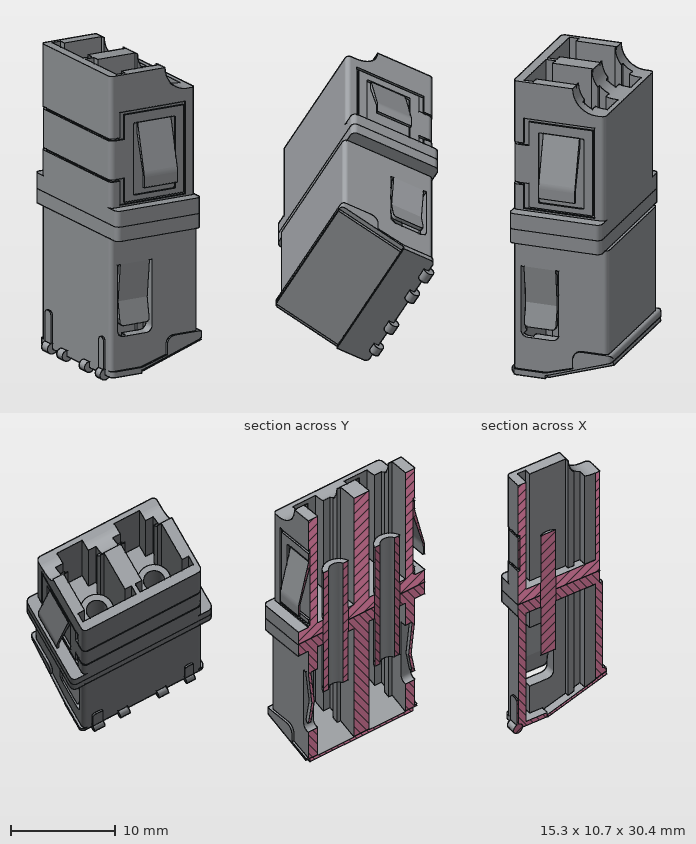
import cadquery as cq
import math


TOP_Z = 30.45
FLANGE_TOP_Z = 17.32
SPLIT_Z = 15.75
FLANGE_BOTTOM_Z = 14.3
BASE_Z = 1.07

BODY_HALF_WIDTH = 6.45
FLANGE_HALF_WIDTH = 7.65
UPPER_DEPTH = 9.38
LOWER_DEPTH = 9.68
LOWER_FRONT_Y = 0.015
BODY_CORNER = 0.43
FLANGE_CORNER = 0.52
SCOOP_RADIUS = 2.45
SCOOP_Y = 8.5

PORT_X = 3.1
PORT_HALF_WIDTH = 2.2
FOOT_HALF_WIDTH = 2.9
NECK_HALF_WIDTH = 1.77
KEY_HALF_WIDTH = 1.37
FOOT_Y = 0.95
FOOT_TOP_Y = 1.9
NECK_Y = 6.0
NECK_TOP_Y = 6.67
SHOULDER_Y = 7.65
KEY_TOP_Y = 8.85
PORT_FLOOR_Z = FLANGE_TOP_Z
PORT_CEILING_Z = FLANGE_BOTTOM_Z

SLEEVE_Y = 3.45
SLEEVE_RADIUS = 1.6
SLEEVE_BORE_RADIUS = 1.0
SLEEVE_BOTTOM_Z = 8.37
SLEEVE_LENGTH = 2 * (SPLIT_Z - SLEEVE_BOTTOM_Z)

CLIP_THICKNESS = 0.2
CLIP_CORNER = 0.55
CLIP_BAND_Z = (20.12, 24.0)
CLIP_PLATE_Y = (1.58, 8.1)
CLIP_PLATE_Z = (17.72, 26.42)
RECESS_BAND_Z = (19.9, 24.2)
RECESS_PLATE_Y = (1.07, 8.3)
RECESS_PLATE_Z = (17.5, 26.73)
CLIP_WINDOW_Y = (2.55, 7.2)
CLIP_WINDOW_Z = (18.25, 25.45)
CLIP_WINDOW_CORNER = 0.18
CLIP_TONGUE_Y = (3.05, 6.73)
CLIP_TONGUE_ROOT_X = 6.4
CLIP_TONGUE_ROOT_Z = 24.53
CLIP_TONGUE_BEND_Z = 20.52
CLIP_TONGUE_TIP_Z = 19.25
CLIP_BEND_RADIUS = 2.13

LATCH_WINDOW_Y = (0.8, 4.63)
LATCH_WINDOW_Z = (4.38, 11.57)
LATCH_WINDOW_CORNER = 0.67
LATCH_Y = (1.1, 4.32)
LATCH_TIP_Z = 5.45
LATCH_BEND_Z = 7.8
LATCH_BEND_DEPTH = 0.43
LATCH_THICKNESS = 0.37
LATCH_CORNER = 0.37

RIM_HALF_WIDTH = 6.7
RIM_BACK_Y = 10.15
RIM_BOTTOM_Z = 0.5
RIM_CORNER = 0.43
SLOPE_START_Y = 3.35
SLOPE_END_Z = 2.92
EAR_Y = 6.15
EAR_TOP_Z = 3.7
EAR_ROUND = 0.85
EAR_BACK_ROUND = 0.37

LID_HALF_WIDTH = 6.25
LID_THICKNESS = 0.37
LID_START_Z = 0.8
LID_END_Y = 10.08
LID_SLOPE = 0.33

KNUCKLE_RADIUS = BASE_Z / 2
KNUCKLE_SPANS = [(-2.68, -1.65), (1.5, 2.53)]
STRAP_SPANS = [(-5.5, -4.38), (4.5, 5.42)]
STRAP_THICKNESS = 0.15
STRAP_TOP_Z = 4.23
STRAP_CORNER = 0.43


def block(x_span, y_span, z_span):
    """Box between the given limits."""
    return (
        cq.Workplane("XY")
        .box(x_span[1] - x_span[0], y_span[1] - y_span[0], z_span[1] - z_span[0], centered=False)
        .translate((x_span[0], y_span[0], z_span[0]))
    )


def centred_block(half_width, y_span, z_span):
    """Box symmetric about X = 0."""
    return block((-half_width, half_width), y_span, z_span)


def side_block(side, inner_x, outer_x, y_span, z_span):
    """Box on the left (side = -1) or right (side = 1) of the part."""
    x_span = sorted((side * inner_x, side * outer_x))
    return block(x_span, y_span, z_span)


def port_cutter(center_x, bottom_z, top_z):
    """Stepped connector opening: foot, shaft, neck, shoulder and key."""
    half_steps = [
        (FOOT_HALF_WIDTH, FOOT_Y),
        (FOOT_HALF_WIDTH, FOOT_TOP_Y),
        (PORT_HALF_WIDTH, FOOT_TOP_Y),
        (PORT_HALF_WIDTH, NECK_Y),
        (NECK_HALF_WIDTH, NECK_Y),
        (NECK_HALF_WIDTH, NECK_TOP_Y),
        (PORT_HALF_WIDTH, NECK_TOP_Y),
        (PORT_HALF_WIDTH, SHOULDER_Y),
        (KEY_HALF_WIDTH, SHOULDER_Y),
        (KEY_HALF_WIDTH, KEY_TOP_Y),
    ]
    right = [(center_x + x, y) for x, y in half_steps]
    left = [(center_x - x, y) for x, y in reversed(half_steps)]
    return (
        cq.Workplane("XY")
        .workplane(offset=bottom_z)
        .polyline(right + left)
        .close()
        .extrude(top_z - bottom_z)
    )


def sleeve_hole(center_x):
    """Round hole that fits the outside of a sleeve."""
    return (
        cq.Workplane("XY")
        .workplane(offset=SLEEVE_BOTTOM_Z)
        .center(center_x, SLEEVE_Y)
        .circle(SLEEVE_RADIUS)
        .extrude(SLEEVE_LENGTH)
    )


def cut_connector_openings(housing, bottom_z, top_z):
    """Cut both ports and the sleeve holes in the wall at their end."""
    for center_x in (-PORT_X, PORT_X):
        housing = housing.cut(port_cutter(center_x, bottom_z, top_z))
        housing = housing.cut(sleeve_hole(center_x))
    return housing


def flange(bottom_z, top_z):
    """Half of the mounting flange, with rounded vertical edges."""
    plate = centred_block(FLANGE_HALF_WIDTH, (0, UPPER_DEPTH), (bottom_z, top_z))
    return plate.edges("|Z").fillet(FLANGE_CORNER)


def wrap(band_z, plate_y, plate_z):
    """U-shaped layer on the body: a front band joining two taller side plates."""
    core = centred_block(
        BODY_HALF_WIDTH - CLIP_THICKNESS, (CLIP_THICKNESS, UPPER_DEPTH), plate_z
    )
    core = core.edges("|Z and <Y").fillet(CLIP_CORNER)
    band = centred_block(BODY_HALF_WIDTH, (0, plate_y[1]), band_z)
    plates = centred_block(BODY_HALF_WIDTH, plate_y, plate_z)
    return band.union(plates).cut(core)


def make_upper_housing():
    body = centred_block(BODY_HALF_WIDTH, (0, UPPER_DEPTH), (SPLIT_Z, TOP_Z))
    body = body.edges("|Z").fillet(BODY_CORNER)
    body = body.union(flange(SPLIT_Z, FLANGE_TOP_Z))

    scoop = (
        cq.Workplane("YZ")
        .center(SCOOP_Y, TOP_Z)
        .circle(SCOOP_RADIUS)
        .extrude(BODY_HALF_WIDTH, both=True)
    )
    lowered_back = centred_block(
        BODY_HALF_WIDTH, (SCOOP_Y, UPPER_DEPTH), (TOP_Z - SCOOP_RADIUS, TOP_Z)
    )
    clip_recess = wrap(RECESS_BAND_Z, RECESS_PLATE_Y, RECESS_PLATE_Z)
    body = body.cut(scoop).cut(lowered_back).cut(clip_recess)
    return cut_connector_openings(body, PORT_FLOOR_Z, TOP_Z)


def lid_top_z(y):
    """Height of the sloping joint between the base rim and the lid."""
    return LID_START_Z + LID_SLOPE * (y - SLOPE_START_Y)


def lower_shaft():
    """Rounded block of the lower housing, ending at the top of the base rim."""
    shaft = centred_block(
        BODY_HALF_WIDTH, (LOWER_FRONT_Y, LOWER_DEPTH), (BASE_Z, FLANGE_BOTTOM_Z)
    )
    shaft = shaft.edges("|Z").fillet(BODY_CORNER)
    under_slope = (
        cq.Workplane("YZ")
        .polyline([(SLOPE_START_Y, BASE_Z), (LOWER_DEPTH, SLOPE_END_Z), (LOWER_DEPTH, BASE_Z)])
        .close()
        .extrude(BODY_HALF_WIDTH, both=True)
    )
    return shaft.cut(under_slope)


def base_rim():
    """Slightly wider base: flat in front, rising to two ears at the rear."""
    ear_center_y = EAR_Y + EAR_ROUND
    ear_center_z = EAR_TOP_Z - EAR_ROUND
    diagonal = EAR_ROUND * math.sqrt(0.5)
    slope = (SLOPE_END_Z - BASE_Z) / (LOWER_DEPTH - SLOPE_START_Y)
    rim = (
        cq.Workplane("YZ")
        .moveTo(LOWER_FRONT_Y, BASE_Z)
        .lineTo(SLOPE_START_Y, BASE_Z)
        .lineTo(EAR_Y, BASE_Z + slope * (EAR_Y - SLOPE_START_Y))
        .lineTo(EAR_Y, ear_center_z)
        .threePointArc(
            (ear_center_y - diagonal, ear_center_z + diagonal), (ear_center_y, EAR_TOP_Z)
        )
        .lineTo(RIM_BACK_Y, EAR_TOP_Z)
        .lineTo(RIM_BACK_Y, lid_top_z(RIM_BACK_Y))
        .lineTo(SLOPE_START_Y, LID_START_Z)
        .lineTo(SLOPE_START_Y, RIM_BOTTOM_Z)
        .lineTo(LOWER_FRONT_Y, RIM_BOTTOM_Z)
        .close()
        .extrude(RIM_HALF_WIDTH, both=True)
    )
    rim = rim.edges("|Z and (<Y or >Y)").fillet(RIM_CORNER)
    back_round = (
        centred_block(
            RIM_HALF_WIDTH,
            (RIM_BACK_Y - EAR_BACK_ROUND, RIM_BACK_Y),
            (EAR_TOP_Z - EAR_BACK_ROUND, EAR_TOP_Z),
        )
        .cut(
            cq.Workplane("YZ")
            .center(RIM_BACK_Y - EAR_BACK_ROUND, EAR_TOP_Z - EAR_BACK_ROUND)
            .circle(EAR_BACK_ROUND)
            .extrude(RIM_HALF_WIDTH, both=True)
        )
    )
    return rim.cut(back_round)


def latch(side):
    """Tongue hanging in a side window, bent inwards like a shallow V."""
    outer = [
        (BODY_HALF_WIDTH, LATCH_WINDOW_Z[1]),
        (BODY_HALF_WIDTH - LATCH_BEND_DEPTH, LATCH_BEND_Z),
        (BODY_HALF_WIDTH, LATCH_TIP_Z),
    ]
    inner = [(x - LATCH_THICKNESS, z) for x, z in reversed(outer)]
    tongue = (
        cq.Workplane("XZ", origin=(0, LATCH_Y[0], 0))
        .polyline([(side * x, z) for x, z in outer + inner])
        .close()
        .extrude(LATCH_Y[0] - LATCH_Y[1])
    )
    return tongue.edges("|X and <Z").fillet(LATCH_CORNER)


def make_lower_housing():
    body = lower_shaft().union(base_rim()).union(flange(FLANGE_BOTTOM_Z, SPLIT_Z))
    body = cut_connector_openings(body, RIM_BOTTOM_Z, PORT_CEILING_Z)
    floor_y = (FOOT_Y, SLOPE_START_Y)
    body = body.union(centred_block(BODY_HALF_WIDTH, floor_y, (RIM_BOTTOM_Z, BASE_Z)))
    for side in (-1, 1):
        window = side_block(
            side, PORT_X + PORT_HALF_WIDTH, BODY_HALF_WIDTH, LATCH_WINDOW_Y, LATCH_WINDOW_Z
        )
        window = window.edges("|X and <Z").fillet(LATCH_WINDOW_CORNER)
        body = body.cut(window).union(latch(side))
    for span in KNUCKLE_SPANS + STRAP_SPANS:
        body = body.cut(make_knuckle(span))
    return body


def make_sleeve(center_x):
    return (
        cq.Workplane("XY")
        .workplane(offset=SLEEVE_BOTTOM_Z)
        .center(center_x, SLEEVE_Y)
        .circle(SLEEVE_RADIUS)
        .circle(SLEEVE_BORE_RADIUS)
        .extrude(SLEEVE_LENGTH)
    )


def clip_tongue(side):
    """Spring tongue leaning outwards and ending in a short upright tip."""
    plate_inner_x = BODY_HALF_WIDTH - CLIP_THICKNESS
    tip_inner_x = FLANGE_HALF_WIDTH - CLIP_THICKNESS
    outline = [
        (plate_inner_x, CLIP_WINDOW_Z[1]),
        (CLIP_TONGUE_ROOT_X, CLIP_WINDOW_Z[1]),
        (FLANGE_HALF_WIDTH, CLIP_TONGUE_BEND_Z),
        (FLANGE_HALF_WIDTH, CLIP_TONGUE_TIP_Z),
        (tip_inner_x, CLIP_TONGUE_TIP_Z),
        (tip_inner_x, CLIP_TONGUE_BEND_Z),
        (plate_inner_x, CLIP_TONGUE_ROOT_Z),
    ]
    tongue = (
        cq.Workplane("XZ", origin=(0, CLIP_TONGUE_Y[0], 0))
        .polyline([(side * x, z) for x, z in outline])
        .close()
        .extrude(CLIP_TONGUE_Y[0] - CLIP_TONGUE_Y[1])
    )
    bends = [
        (FLANGE_HALF_WIDTH, CLIP_BEND_RADIUS),
        (tip_inner_x, CLIP_BEND_RADIUS - CLIP_THICKNESS),
    ]
    middle_y = sum(CLIP_TONGUE_Y) / 2
    for x, radius in bends:
        bend = cq.selectors.NearestToPointSelector((side * x, middle_y, CLIP_TONGUE_BEND_Z))
        tongue = tongue.edges("|Y").edges(bend).fillet(radius)
    return tongue


def make_clip():
    clip = wrap(CLIP_BAND_Z, CLIP_PLATE_Y, CLIP_PLATE_Z)
    clip = clip.edges("|Z and <Y").fillet(CLIP_CORNER)
    window = centred_block(BODY_HALF_WIDTH, CLIP_WINDOW_Y, CLIP_WINDOW_Z)
    clip = clip.cut(window.edges("|X").fillet(CLIP_WINDOW_CORNER))
    for side in (-1, 1):
        clip = clip.union(clip_tongue(side))
    return clip


def make_lid():
    """Flat plate with square ends, lying along the slope of the base."""
    angle = math.atan(LID_SLOPE)
    drop_y = LID_THICKNESS * math.sin(angle)
    drop_z = LID_THICKNESS * math.cos(angle)
    top = [(y, lid_top_z(y)) for y in (SLOPE_START_Y, LID_END_Y)]
    bottom = [(y + drop_y, z - drop_z) for y, z in reversed(top)]
    return (
        cq.Workplane("YZ")
        .polyline(top + bottom)
        .close()
        .extrude(LID_HALF_WIDTH, both=True)
    )


def make_knuckle(x_span):
    """Hinge knuckle centred on the front face, just under the housing."""
    return (
        cq.Workplane("YZ", origin=(x_span[0], 0, KNUCKLE_RADIUS))
        .circle(KNUCKLE_RADIUS)
        .extrude(x_span[1] - x_span[0])
    )


def make_strap(x_span):
    """Hinge strap: a round-topped strip on the front face with its knuckle."""
    strip = block(x_span, (-STRAP_THICKNESS, LOWER_FRONT_Y), (KNUCKLE_RADIUS, STRAP_TOP_Z))
    strip = strip.edges("|Y and >Z").fillet(STRAP_CORNER)
    return strip.union(make_knuckle(x_span))


upper_housing = make_upper_housing()
lower_housing = make_lower_housing()
clip = make_clip()
lid = make_lid()
sleeves = [make_sleeve(center_x) for center_x in (-PORT_X, PORT_X)]
knuckles = [make_knuckle(span) for span in KNUCKLE_SPANS]
straps = [make_strap(span) for span in STRAP_SPANS]

result = cq.Compound.makeCompound(
    [body.val() for body in [upper_housing, lower_housing, clip, lid] + sleeves + knuckles + straps]
)